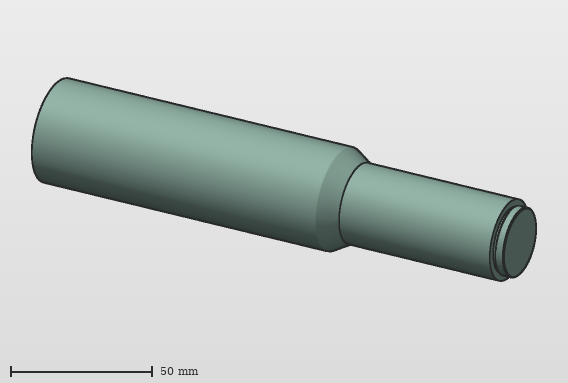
import cadquery as cq
import math

total_length = 184.5
body_radius = 19.0
shank_diameter = 29.7
shank_radius = shank_diameter / 2
neck_radius = 12.2
collar_radius = 12.7

shoulder_end = 120.1
shoulder_angle = 30.0
shoulder_rounding = 1.1
neck_width = 1.1
collar_width = 3.3
collar_chamfer = 0.4

collar_start = total_length - collar_width
shank_end = collar_start - neck_width

slope = math.radians(shoulder_angle)
cone_length = (body_radius - shank_radius) / math.tan(slope)
corner_x = shoulder_end - cone_length
tangent_length = shoulder_rounding * math.tan(slope / 2)
arc_start_x = corner_x - tangent_length
arc_center_radius = body_radius - shoulder_rounding


def rounding_point(angle):
    """Point on the shoulder rounding, with the angle measured from the radial direction."""
    return (
        arc_start_x + shoulder_rounding * math.sin(angle),
        arc_center_radius + shoulder_rounding * math.cos(angle),
    )


profile = (
    cq.Workplane("XY")
    .moveTo(0, 0)
    .lineTo(0, body_radius)
    .lineTo(arc_start_x, body_radius)
    .threePointArc(rounding_point(slope / 2), rounding_point(slope))
    .lineTo(shoulder_end, shank_radius)
    .lineTo(shank_end, shank_radius)
    .lineTo(shank_end, neck_radius)
    .lineTo(collar_start, neck_radius)
    .lineTo(collar_start, collar_radius)
    .lineTo(total_length - collar_chamfer, collar_radius)
    .lineTo(total_length, collar_radius - collar_chamfer)
    .lineTo(total_length, 0)
    .close()
)

result = profile.revolve(360, (0, 0, 0), (1, 0, 0))